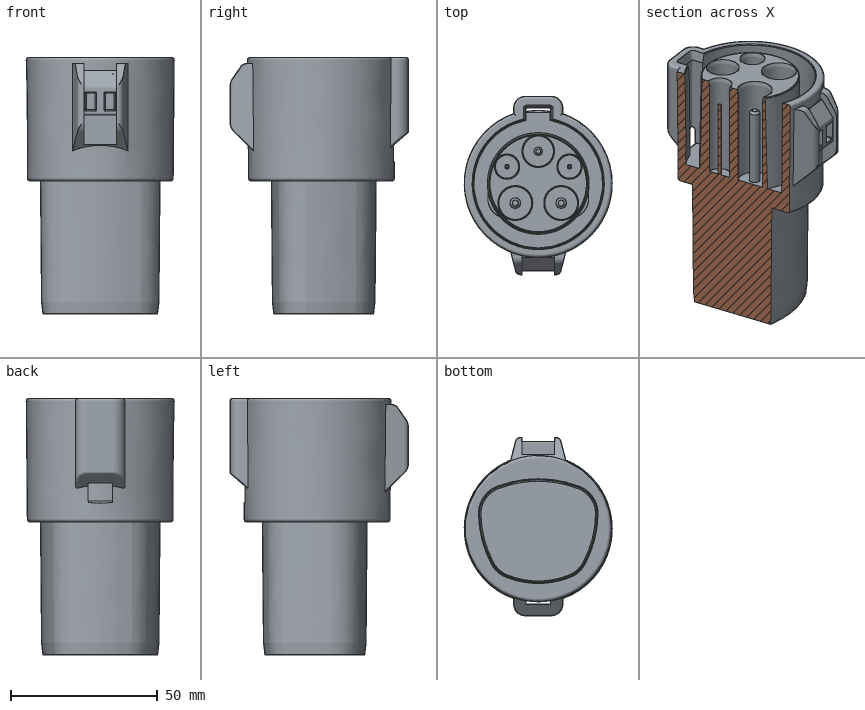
import cadquery as cq
import math

TOTAL_HEIGHT = 87.5
DRAFT = 0.5
EDGE_ROUND = 1.0

SHELL_RADIUS = 25.25
SHELL_HEIGHT = 42.2
SHELL_BOTTOM = TOTAL_HEIGHT - SHELL_HEIGHT
BORE_RADIUS = 22.55
BORE_DEPTH = 35.0
BORE_FLOOR = TOTAL_HEIGHT - BORE_DEPTH
BORE_CHAMFER = 0.3

SLEEVE_HALF_WIDTH = 20.4
SLEEVE_BACK_Y = 18.7
SLEEVE_FRONT_Y = -17.06
SLEEVE_BACK_RADIUS = 29.0
SLEEVE_FRONT_RADIUS = 38.8
SLEEVE_SIDE_RADIUS = 37.0
SLEEVE_SIDE_Y = -5.5
SLEEVE_CORNER_RADIUS = 10.0
SLEEVE_WALL = 3.2
TIP_HEIGHT = 4.0
TIP_TAPER = 7.0

CORE_RADIUS = 16.75
CORE_DRAFT = 1.0
CORE_CHAMFER = 0.3
PLINTH_HEIGHT = 0.5

HOLE_LIP = 0.35
HOLE_LIP_DEPTH = 1.4
PIN_RECESS = 8.0
PIN_TIP_RATIO = 0.55
CONTACTS = [
    (0.0, 11.0, 5.55, 1.4),
    (-10.66, 5.74, 4.3, 0.75),
    (10.66, 5.74, 4.3, 0.75),
    (-7.82, -6.67, 5.95, 1.8),
    (7.82, -6.67, 5.95, 1.8),
]

KEY_BACK_Y = 29.7
KEY_HALF_WIDTH = 8.4
KEY_CORNER_RADIUS = 4.0
KEY_OUTER_DEPTH = 25.5
KEY_BOTTOM_SLOPE = 41.0
KEY_SLOPE_ROUND = 0.8
KEY_SLOT_HALF_WIDTH = 5.1
KEY_SLOT_BACK_Y = 26.7
KEY_MOUTH_FLARE = 0.7
KEY_MOUTH_DEPTH = 3.4
KEY_SLOT_CORNER_RADIUS = 0.6
KEY_SILL_CHAMFER = 0.8

LATCH_FRONT_Y = -31.14
LATCH_TOP_Y = -26.7
LATCH_ROOT_Y = -23.2
LATCH_ROOT_HALF_WIDTH = 9.5
LATCH_FRONT_HALF_WIDTH = 7.4
LATCH_GAP_HALF_WIDTH = 5.55
LATCH_ROUND = 1.8
CHEEK_TOP_ROUND = 2.5
CHEEK_FRONT_ROUND = 4.5
CHEEK_TOP = TOTAL_HEIGHT - 2.1
CHEEK_FRONT_TOP = TOTAL_HEIGHT - 8.5
CHEEK_FRONT_BOTTOM = TOTAL_HEIGHT - 24.0
CHEEK_BOTTOM = TOTAL_HEIGHT - 31.8
CATCH_FRONT_Y = -29.8
CATCH_ROOT_TOP = TOTAL_HEIGHT - 4.5
CATCH_FRONT_TOP = TOTAL_HEIGHT - 10.3
CATCH_BOTTOM = TOTAL_HEIGHT - 19.7
PAD_Y = -25.3
CATCH_ROUND = 0.6
EMBED_Y = -23.0

WINDOW_X = 3.3
WINDOW_WIDTH = 3.9
WINDOW_HEIGHT = 6.6
WINDOW_Z = TOTAL_HEIGHT - 15.05
WINDOW_DEPTH = 3.0
WINDOW_TAPER = 9.5
WINDOW_CORNER_RADIUS = 0.4


def inset(length, degrees):
    """Sideways shift of a drafted face over a given length."""
    return length * math.tan(math.radians(degrees))


def box(x_half, y_min, y_max, z_min, z_max):
    """Box that is symmetric about the YZ plane."""
    size = (2 * x_half, y_max - y_min, z_max - z_min)
    return cq.Workplane().box(*size, centered=(True, False, False)).translate((0, y_min, z_min))


def cone(radius_bottom, radius_top, z_min, height):
    """Upright truncated cone on the Z axis."""
    return cq.Workplane(cq.Solid.makeCone(radius_bottom, radius_top, height, cq.Vector(0, 0, z_min)))


def cylinder(radius, z_min, height):
    """Upright cylinder on the Z axis."""
    return cq.Workplane(cq.Solid.makeCylinder(radius, height, cq.Vector(0, 0, z_min)))


def side_profile(points, x_half):
    """Solid from a (y, z) outline, symmetric about the YZ plane."""
    return cq.Workplane("YZ").polyline(points).close().extrude(x_half, both=True)


def point_on_arc(centre, radius, angle):
    """Point of a circle at an angle in radians from +X."""
    return (centre[0] + radius * math.cos(angle), centre[1] + radius * math.sin(angle))


def corner_centre(side_centre, end_centre, end_radius, turn):
    """Centre of the corner arc that touches the side arc and an end arc from inside."""
    to_side = SLEEVE_SIDE_RADIUS - SLEEVE_CORNER_RADIUS
    to_end = end_radius - SLEEVE_CORNER_RADIUS
    span = math.dist(side_centre, end_centre)
    base = direction(side_centre, end_centre)
    swing = math.acos((to_side**2 + span**2 - to_end**2) / (2 * to_side * span))
    return point_on_arc(side_centre, to_side, base + turn * swing)


def direction(start, end):
    """Angle in radians of the line from start to end."""
    return math.atan2(end[1] - start[1], end[0] - start[0])


def sleeve_outline(margin):
    """Shield outline of tangent arcs, moved inward by margin: right half plus its mirror image."""
    side_centre = (SLEEVE_HALF_WIDTH - SLEEVE_SIDE_RADIUS, SLEEVE_SIDE_Y)
    front_centre = (0, SLEEVE_FRONT_Y + SLEEVE_FRONT_RADIUS)
    back_centre = (0, SLEEVE_BACK_Y - SLEEVE_BACK_RADIUS)
    front_corner = corner_centre(side_centre, front_centre, SLEEVE_FRONT_RADIUS, -1)
    back_corner = corner_centre(side_centre, back_centre, SLEEVE_BACK_RADIUS, 1)

    front_angle = direction(front_centre, front_corner)
    side_front_angle = direction(side_centre, front_corner)
    side_back_angle = direction(side_centre, back_corner)
    back_angle = direction(back_centre, back_corner)
    front_radius = SLEEVE_FRONT_RADIUS - margin
    side_radius = SLEEVE_SIDE_RADIUS - margin
    back_radius = SLEEVE_BACK_RADIUS - margin
    corner_radius = SLEEVE_CORNER_RADIUS - margin

    front_end = point_on_arc(front_centre, front_radius, front_angle)
    front_middle = (0, SLEEVE_FRONT_Y + margin)
    back_end = point_on_arc(back_centre, back_radius, back_angle)
    back_middle = (0, SLEEVE_BACK_Y - margin)
    front_corner_middle = point_on_arc(front_corner, corner_radius, (front_angle + side_front_angle) / 2)
    side_front = point_on_arc(side_centre, side_radius, side_front_angle)
    side_middle = point_on_arc(side_centre, side_radius, (side_front_angle + side_back_angle) / 2)
    side_back = point_on_arc(side_centre, side_radius, side_back_angle)
    back_corner_middle = point_on_arc(back_corner, corner_radius, (side_back_angle + back_angle) / 2)

    def mirrored(point):
        return (-point[0], point[1])

    return (
        cq.Workplane().moveTo(*mirrored(front_end))
        .threePointArc(front_middle, front_end)
        .threePointArc(front_corner_middle, side_front)
        .threePointArc(side_middle, side_back)
        .threePointArc(back_corner_middle, back_end)
        .threePointArc(back_middle, mirrored(back_end))
        .threePointArc(mirrored(back_corner_middle), mirrored(side_back))
        .threePointArc(mirrored(side_middle), mirrored(side_front))
        .threePointArc(mirrored(front_corner_middle), mirrored(front_end))
        .close()
    )


def make_shell():
    bottom_radius = SHELL_RADIUS - inset(SHELL_HEIGHT, DRAFT)
    shell = cone(bottom_radius, SHELL_RADIUS, SHELL_BOTTOM, SHELL_HEIGHT)
    return shell.faces("<Z or >Z").edges().fillet(EDGE_ROUND)


def make_sleeve():
    main_length = SHELL_BOTTOM - TIP_HEIGHT
    main = sleeve_outline(0).extrude(-main_length, taper=DRAFT)
    tip = sleeve_outline(inset(main_length, DRAFT)).extrude(-TIP_HEIGHT, taper=TIP_TAPER)
    return main.translate((0, 0, SHELL_BOTTOM)).union(tip.translate((0, 0, TIP_HEIGHT)))


def make_key_body():
    """Outside of the key tab, cut off at a slope underneath."""
    body = (
        box(KEY_HALF_WIDTH, 0, KEY_BACK_Y, SHELL_BOTTOM, TOTAL_HEIGHT)
        .edges("|Z and >Y").fillet(KEY_CORNER_RADIUS)
        .faces(">Z").edges("not <Y").fillet(EDGE_ROUND)
    )
    rise = inset(KEY_BACK_Y, KEY_BOTTOM_SLOPE)
    outer_bottom = TOTAL_HEIGHT - KEY_OUTER_DEPTH
    below = [
        (KEY_BACK_Y, outer_bottom),
        (0, outer_bottom - rise),
        (KEY_BACK_Y, outer_bottom - rise),
    ]
    body = body.cut(side_profile(below, 2 * KEY_HALF_WIDTH))
    slope_height = outer_bottom - inset(KEY_BACK_Y - SHELL_RADIUS, KEY_BOTTOM_SLOPE)
    on_slope = cq.selectors.NearestToPointSelector((0, SHELL_RADIUS, slope_height))
    slope_edges = body.faces(on_slope).edges("not <Y")
    return slope_edges.fillet(KEY_SLOPE_ROUND)


def slot_prism(margin, corner_radius, length, taper):
    """Drafted slot section, hanging down from the XY plane."""
    back_y = KEY_SLOT_BACK_Y - margin
    outline = (
        cq.Sketch().push([(0, back_y / 2)]).rect(2 * (KEY_SLOT_HALF_WIDTH - margin), back_y).reset()
        .vertices(">Y").fillet(corner_radius).reset()
    )
    return cq.Workplane().placeSketch(outline).extrude(-length, taper=taper)


def make_key_slot():
    """Slot from the bore out into the key tab, with a flared mouth."""
    mouth_radius = KEY_SLOT_CORNER_RADIUS + KEY_MOUTH_FLARE
    mouth_taper = math.degrees(math.atan2(KEY_MOUTH_FLARE, KEY_MOUTH_DEPTH))
    mouth = slot_prism(0, mouth_radius, KEY_MOUTH_DEPTH, mouth_taper)
    slot = slot_prism(KEY_MOUTH_FLARE, KEY_SLOT_CORNER_RADIUS, BORE_DEPTH, DRAFT)
    return mouth.union(slot).translate((0, 0, TOTAL_HEIGHT))


def make_key_sill():
    """Bevel on the shell wall where the slot opens below the tab."""
    outer = SHELL_RADIUS - inset(BORE_DEPTH, DRAFT)
    sill_y = outer - KEY_SILL_CHAMFER
    bevel = [
        (sill_y, BORE_FLOOR),
        (KEY_SLOT_BACK_Y, BORE_FLOOR),
        (KEY_SLOT_BACK_Y, BORE_FLOOR - KEY_SLOT_BACK_Y + sill_y),
    ]
    half_width = KEY_SLOT_HALF_WIDTH - KEY_MOUTH_FLARE - inset(BORE_DEPTH, DRAFT)
    return side_profile(bevel, half_width)


def make_bore():
    wall_top = BORE_RADIUS - BORE_CHAMFER
    floor_radius = wall_top - inset(BORE_DEPTH, DRAFT)
    bore = cone(floor_radius, wall_top, BORE_FLOOR, BORE_DEPTH)
    return bore.union(cone(wall_top, BORE_RADIUS, TOTAL_HEIGHT - BORE_CHAMFER, BORE_CHAMFER))


def make_core():
    foot_radius = CORE_RADIUS + inset(BORE_DEPTH, CORE_DRAFT)
    core = cone(foot_radius, CORE_RADIUS, BORE_FLOOR, BORE_DEPTH).faces(">Z").chamfer(CORE_CHAMFER)
    plinth = sleeve_outline(SLEEVE_WALL).extrude(PLINTH_HEIGHT)
    return core.union(plinth.translate((0, 0, BORE_FLOOR)))


def make_contact_hole(radius):
    inner = radius - HOLE_LIP
    hole = cylinder(inner, BORE_FLOOR, BORE_DEPTH)
    return hole.union(cone(inner, radius, TOTAL_HEIGHT - HOLE_LIP_DEPTH, HOLE_LIP_DEPTH))


def make_pin(radius):
    tip_radius = PIN_TIP_RATIO * radius
    tip_height = radius - tip_radius
    pin_top = TOTAL_HEIGHT - PIN_RECESS
    shank = cylinder(radius, BORE_FLOOR, pin_top - tip_height - BORE_FLOOR)
    return shank.union(cone(radius, tip_radius, pin_top - tip_height, tip_height))


def latch_underside(y):
    """Height of the sloped underside of the latch at a given y."""
    slope = (CHEEK_FRONT_BOTTOM - CHEEK_BOTTOM) / (LATCH_ROOT_Y - LATCH_FRONT_Y)
    return CHEEK_BOTTOM + slope * (LATCH_ROOT_Y - y)


def make_cheeks():
    """Both cheeks of the latch, with rounded outer edges."""
    profile = [
        (EMBED_Y, CHEEK_TOP),
        (LATCH_TOP_Y, CHEEK_TOP),
        (LATCH_FRONT_Y, CHEEK_FRONT_TOP),
        (LATCH_FRONT_Y, CHEEK_FRONT_BOTTOM),
        (EMBED_Y, latch_underside(EMBED_Y)),
    ]
    plan = [
        (-LATCH_ROOT_HALF_WIDTH, EMBED_Y),
        (-LATCH_FRONT_HALF_WIDTH, LATCH_FRONT_Y),
        (LATCH_FRONT_HALF_WIDTH, LATCH_FRONT_Y),
        (LATCH_ROOT_HALF_WIDTH, EMBED_Y),
    ]
    wedge = cq.Workplane().polyline(plan).close().extrude(TOTAL_HEIGHT)
    wedge = wedge.edges("|Z and <Y").fillet(LATCH_ROUND)
    side = side_profile(profile, LATCH_ROOT_HALF_WIDTH)
    side = side.edges("|X and <Y").fillet(CHEEK_FRONT_ROUND)
    top_bend = cq.selectors.NearestToPointSelector((0, LATCH_TOP_Y, CHEEK_TOP))
    side = side.edges("|X").edges(top_bend).fillet(CHEEK_TOP_ROUND)
    block = wedge.intersect(side)
    gap = box(LATCH_GAP_HALF_WIDTH, LATCH_FRONT_Y, EMBED_Y, SHELL_BOTTOM, TOTAL_HEIGHT)
    return block.cut(gap)


def make_catch():
    """Block between the cheeks, with a sloped top, two windows and a pad below."""
    profile = [
        (EMBED_Y, CATCH_ROOT_TOP),
        (PAD_Y, CATCH_ROOT_TOP),
        (CATCH_FRONT_Y, CATCH_FRONT_TOP),
        (CATCH_FRONT_Y, CATCH_BOTTOM),
        (PAD_Y, CATCH_BOTTOM),
        (PAD_Y, latch_underside(PAD_Y)),
        (EMBED_Y, latch_underside(EMBED_Y)),
    ]
    catch = side_profile(profile, LATCH_GAP_HALF_WIDTH)
    catch = catch.edges("|X and <Y").fillet(CATCH_ROUND)
    outline = (
        cq.Sketch().rect(WINDOW_WIDTH, WINDOW_HEIGHT)
        .vertices().fillet(WINDOW_CORNER_RADIUS).reset()
    )
    for x in (-WINDOW_X, WINDOW_X):
        window = (
            cq.Workplane("XZ", origin=(x, CATCH_FRONT_Y, WINDOW_Z))
            .placeSketch(outline).extrude(-WINDOW_DEPTH, taper=WINDOW_TAPER)
        )
        catch = catch.cut(window)
    return catch


cup = make_shell().union(make_key_body())
cup = cup.union(make_cheeks()).union(make_catch())
cup = cup.cut(make_bore())
cup = cup.cut(make_key_slot())
cup = cup.cut(make_key_sill())

result = cup.union(make_sleeve()).union(make_core())
for hole_x, hole_y, hole_radius, pin_radius in CONTACTS:
    result = result.cut(make_contact_hole(hole_radius).translate((hole_x, hole_y, 0)))
    result = result.union(make_pin(pin_radius).translate((hole_x, hole_y, 0)))